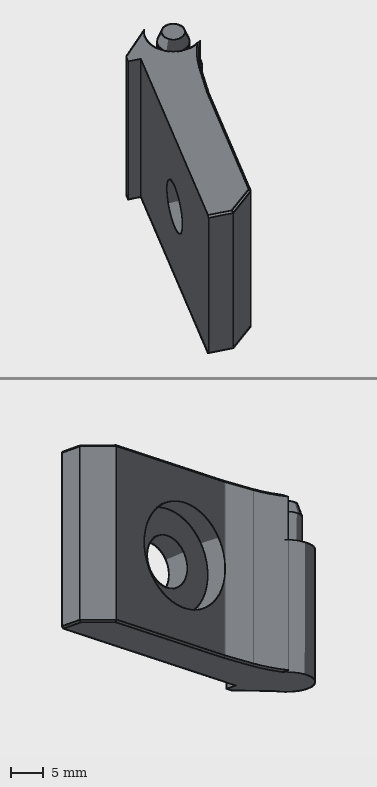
import cadquery as cq
import math

length = 46.0
depth = 13.0
height = 29.0
blade_front_y = 2.02
blade_back_y = 10.0
end_bevel = 4.0
edge_chamfer = 0.3

barrel_diameter = 8.95
barrel_radius = barrel_diameter / 2
barrel_height = 21.6
axis_x = barrel_radius
axis_y = depth - barrel_radius
pin_diameter = 5.0
pin_tip_diameter = 3.6
pin_tip_length = 2.02

lip_left_x = 7.8
lip_right_x = 8.95
lip_start_x = 2.85
lip_corner_flat = 0.15

blend_start_x = 7.3
blend_end_x = 13.3
blend_radius = 16.55
ramp_end_x = 18.95
ramp_rise = 0.4

hole_x = 27.45
hole_z = height / 2
hole_diameter = 8.5
counterbore_diameter = 17.25
counterbore_depth = 3.85


def barrel_y(x, side):
    """Y on the barrel circle at x; side is +1 for the back, -1 for the front."""
    return axis_y + side * math.sqrt(barrel_radius**2 - (x - axis_x) ** 2)


def cylinder(diameter, bottom, top):
    return (
        cq.Workplane("XY", origin=(axis_x, axis_y, bottom))
        .circle(diameter / 2)
        .extrude(top - bottom)
    )


def make_leaf():
    """Leaf profile with its back and end edges chamfered."""
    blend_end_y = blade_back_y + ramp_rise
    blend_start = (blend_start_x, barrel_y(blend_start_x, 1))
    leaf = (
        cq.Workplane("XY")
        .moveTo(axis_x, axis_y)
        .lineTo(lip_start_x, barrel_y(lip_start_x, -1))
        .lineTo(lip_left_x - lip_corner_flat, lip_corner_flat)
        .lineTo(lip_left_x, 0)
        .lineTo(lip_right_x, 0)
        .lineTo(lip_right_x, blade_front_y)
        .lineTo(length, blade_front_y)
        .lineTo(length, blade_back_y - end_bevel)
        .lineTo(length - end_bevel, blade_back_y)
        .lineTo(ramp_end_x, blade_back_y)
        .lineTo(blend_end_x, blend_end_y)
        .radiusArc(blend_start, blend_radius)
        .close()
        .extrude(height)
    )
    chamfer_points = [
        (length, (blade_front_y + blade_back_y - end_bevel) / 2),
        (length - end_bevel / 2, blade_back_y - end_bevel / 2),
        (hole_x, blade_back_y),
        ((blend_end_x + ramp_end_x) / 2, blade_back_y + ramp_rise / 2),
        ((blend_start_x + blend_end_x) / 2, (blend_start[1] + blend_end_y) / 2),
    ]
    edges = []
    for z in (0, height):
        for x, y in chamfer_points:
            edges += leaf.edges(cq.selectors.NearestToPointSelector((x, y, z))).vals()
    return leaf.newObject(edges).chamfer(edge_chamfer)


def make_barrel_and_pin():
    barrel = cylinder(barrel_diameter, 0, barrel_height)
    pin = cylinder(pin_diameter, barrel_height, height)
    taper = (pin_diameter - pin_tip_diameter) / 2
    pin = pin.faces(">Z").chamfer(pin_tip_length, taper)
    return barrel.union(pin)


def drill_screw_hole(body):
    entry = cq.Plane(origin=(hole_x, blade_back_y, hole_z), xDir=(1, 0, 0), normal=(0, 1, 0))
    return body.copyWorkplane(cq.Workplane(entry)).cboreHole(
        hole_diameter, counterbore_diameter, counterbore_depth
    )


barrel_clearance = cylinder(barrel_diameter, barrel_height, height)
leaf = make_leaf().cut(barrel_clearance)
result = drill_screw_hole(leaf).union(make_barrel_and_pin())